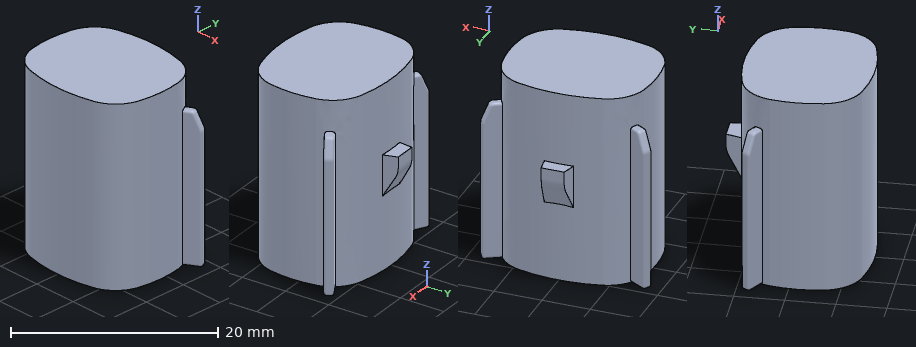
import cadquery as cq
import math

body_height = 20.5
body_half_width = 7.67
body_half_depth = 6.44
side_wall_radius = 13.12
end_wall_radius = 16.8
body_corner_radius = 4.2

fin_angle = 30.0
fin_fan_offset = 0.1
fin_reach = 10.0
fin_thickness = 1.05
fin_height = 17.05
fin_shoulder_height = 14.96
fin_slope_run = 0.88
fin_shoulder_radius = 1.0
fin_top_radius = 0.5
fin_edge_radius = 0.3
fin_root = 4.1

catch_tip = 8.0
catch_length = 1.65
catch_tip_half_width = 1.19
catch_base_half_width = 1.52
catch_tip_top = 12.9
catch_base_top = 12.8
catch_tip_bottom = 11.07
catch_ramp_angle = 30.0
catch_ramp_radius = 2.25
catch_buried = 0.62


def bulged_slab(half_span, wall_radius):
    """Overlap of two cylinders whose crowns lie half_span either side of the axis along X."""
    offset = wall_radius - half_span
    left_centred = cq.Workplane("XY").center(-offset, 0).circle(wall_radius).extrude(body_height)
    right_centred = cq.Workplane("XY").center(offset, 0).circle(wall_radius).extrude(body_height)
    return left_centred.intersect(right_centred)


def make_body():
    side_walls = bulged_slab(body_half_width, side_wall_radius)
    end_walls = bulged_slab(body_half_depth, end_wall_radius)
    end_walls = end_walls.rotate((0, 0, 0), (0, 0, 1), 90)
    return side_walls.intersect(end_walls).edges("|Z").fillet(body_corner_radius)


def make_fin(angle):
    """Plate along +X with a sloping top corner, turned about Z and set forward."""
    slope_start = fin_reach - fin_slope_run
    plate = (
        cq.Workplane("XZ")
        .moveTo(fin_root, 0)
        .lineTo(fin_reach, 0)
        .lineTo(fin_reach, fin_shoulder_height)
        .lineTo(slope_start, fin_height)
        .lineTo(fin_root, fin_height)
        .close()
        .extrude(fin_thickness / 2, both=True)
    )
    shoulder = cq.selectors.NearestToPointSelector((fin_reach, 0, fin_shoulder_height))
    top_corner = cq.selectors.NearestToPointSelector((slope_start, 0, fin_height))
    bottom_corner = cq.selectors.NearestToPointSelector((fin_reach, 0, 0))
    plate = plate.edges("|Y").edges(shoulder).fillet(fin_shoulder_radius)
    plate = plate.edges("|Y").edges(top_corner).fillet(fin_top_radius)
    rounded_edges = plate.faces("<Y or >Y").edges("not <X").add(plate.edges("|Y").edges(bottom_corner))
    plate = rounded_edges.fillet(fin_edge_radius)
    return plate.rotate((0, 0, 0), (0, 0, 1), angle).translate((0, -fin_fan_offset, 0))


def make_catch():
    depth = catch_length + catch_buried
    inner_end = catch_tip - depth
    depth_ratio = depth / catch_length
    inner_top = catch_tip_top - (catch_tip_top - catch_base_top) * depth_ratio
    inner_bottom = catch_tip_bottom - depth / math.tan(math.radians(catch_ramp_angle))
    inner_half_width = catch_tip_half_width + (catch_base_half_width - catch_tip_half_width) * depth_ratio

    wedge = (
        cq.Workplane("YZ")
        .moveTo(inner_end, inner_top)
        .lineTo(catch_tip, catch_tip_top)
        .lineTo(catch_tip, catch_tip_bottom)
        .lineTo(inner_end, inner_bottom)
        .close()
        .extrude(inner_half_width, both=True)
    )
    ramp_corner = cq.selectors.NearestToPointSelector((0, catch_tip, catch_tip_bottom))
    wedge = wedge.edges("|X").edges(ramp_corner).fillet(catch_ramp_radius)
    taper = (
        cq.Workplane("XY")
        .moveTo(-inner_half_width, inner_end)
        .lineTo(-catch_tip_half_width, catch_tip)
        .lineTo(catch_tip_half_width, catch_tip)
        .lineTo(inner_half_width, inner_end)
        .close()
        .extrude(body_height)
    )
    return wedge.intersect(taper)


result = make_body().union(make_catch())
for angle in (fin_angle, 180 - fin_angle):
    result = result.union(make_fin(angle))